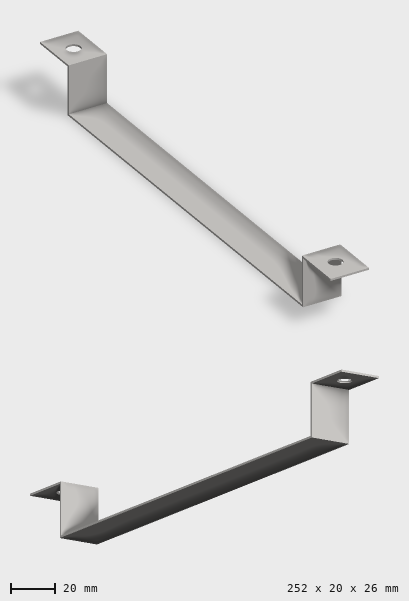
import cadquery as cq

length = 252.0
width = 20.0
height = 26.0
thickness = 1.0

tab_length = 25.0
hole_diameter = 7.0
hole_spacing = length - tab_length

half_length = length / 2
inner_wall_x = half_length - tab_length
outer_wall_x = inner_wall_x + thickness


def strap_body():
    """Bent strip: a low centre span with a raised tab at each end."""
    right_half = [
        (outer_wall_x, 0),
        (outer_wall_x, height - thickness),
        (half_length, height - thickness),
        (half_length, height),
        (inner_wall_x, height),
        (inner_wall_x, thickness),
    ]
    left_half = [(-x, z) for x, z in reversed(right_half)]
    return (
        cq.Workplane("XZ")
        .polyline(right_half + left_half)
        .close()
        .extrude(width / 2, both=True)
    )


def tab_holes():
    """Vertical screw hole cutters, one through each tab."""
    return (
        cq.Workplane("XY", origin=(0, 0, height - thickness))
        .pushPoints([(-hole_spacing / 2, 0), (hole_spacing / 2, 0)])
        .circle(hole_diameter / 2)
        .extrude(thickness)
    )


result = strap_body().cut(tab_holes())